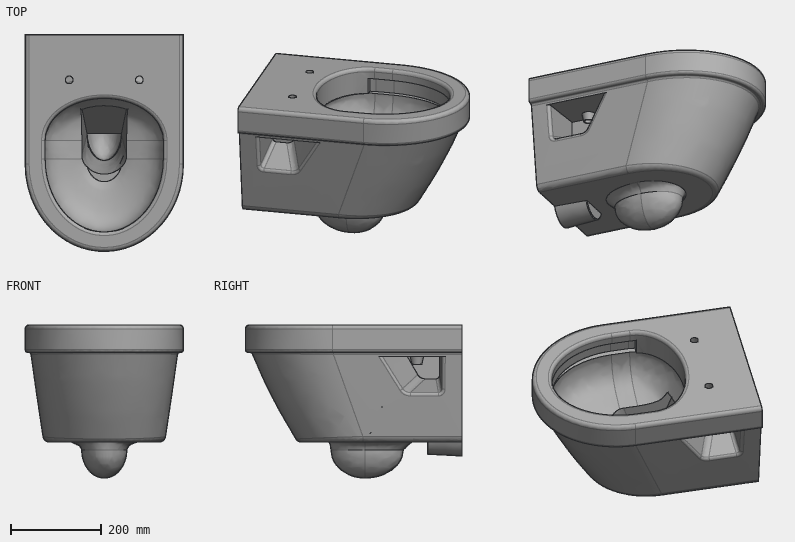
import cadquery as cq


WIDTH = 350.0
LENGTH = 479.28
HEIGHT = 338.45
TOLERANCE = 0.1
BEYOND = 20.0

RIM_HEIGHT = 61.0
RIM_ELLIPSE_Y = -286.0
RIM_TOP_ROUND = 9.0
RIM_BOTTOM_ROUND = 7.0
RIM_COVE = 5.0

BODY_BOTTOM = -259.0
BODY_SECTIONS = [
    (-RIM_HEIGHT, 162.5, -286.0, -465.0),
    (-160.0, 148.5, -250.0, -419.5),
    (BODY_BOTTOM, 133.5, -215.0, -363.0),
]
BODY_BOTTOM_ROUND = 15.0

TRAP_HALF_WIDTH = 50.0
TRAP_CENTRE_Y = -215.0
TRAP_FRONT_RADIUS = 75.0
TRAP_BACK_RADIUS = 85.0
TRAP_EQUATOR = -276.0
TRAP_FLARE = [
    (TRAP_EQUATOR, TRAP_HALF_WIDTH, TRAP_BACK_RADIUS, TRAP_FRONT_RADIUS),
    (-267.0, 55.0, 95.0, 77.0),
    (BODY_BOTTOM + 1, 92.0, 104.0, 80.0),
]
TRAP_WALL = 12.0

OUTLET_LENGTH = 77.0
OUTLET_AXIS_Z = -245.0
OUTLET_WALL_RADIUS = 45.0
OUTLET_TIP_RADIUS = 41.0
OUTLET_TIP_CHAMFER = 2.0

OPENING_HALF_WIDTH = 130.5
OPENING_BACK_Y = -141.0
OPENING_BACK_CENTRE_Y = -234.0
OPENING_FRONT_CENTRE_Y = -275.0
OPENING_FRONT_Y = -436.0
OPENING_ROUND = 8.0
OPENING_DEPTH = 74.0

BOWL_SECTIONS = [
    (-60.0, 134.0, -138.0, -438.0),
    (-100.0, 126.5, -143.0, -431.0),
    (-120.0, 111.0, -157.0, -416.0),
    (-138.0, 74.0, -165.0, -372.0),
    (-152.0, 40.0, -172.0, -325.0),
]

GROOVE_HALF_WIDTH = 146.0
GROOVE_TOP = -24.0
GROOVE_BOTTOM = -60.0
GROOVE_END_Y = -220.0

SUMP_SECTIONS = [
    (-120.0, 52.0, -275.0, -316.0, -150.0),
    (TRAP_EQUATOR, TRAP_HALF_WIDTH - TRAP_WALL, -222.0,
     TRAP_CENTRE_Y - TRAP_FRONT_RADIUS + TRAP_WALL, -219.0),
]

SEAT_HOLE_DIAMETER = 17.0
SEAT_HOLE_X = 77.5
SEAT_HOLE_Y = -100.0
SEAT_BOSS_RADIUS = 15.0
SEAT_BOSS_TIP_RADIUS = 11.0
SEAT_BOSS_BOTTOM = -87.0

RECESS_TOP = -70.0
RECESS_MOUTH_X = 175.0
RECESS_END_X = 58.0
RECESS_MOUTH = [(-43.0, RECESS_TOP), (-43.0, -160.0), (-137.0, -160.0), (-186.0, RECESS_TOP)]
RECESS_END = [(-50.0, RECESS_TOP), (-50.0, -119.0), (-93.0, -119.0), (-121.0, RECESS_TOP)]
RECESS_BACK_ROUND = 8.0
RECESS_FRONT_ROUND = 20.0
RECESS_EDGE_ROUND = 7.0
RECESS_ROUND_MIN_X = 138.0


def front_arc(half_width, centre_y, front_y, z):
    """Half ellipse bulging towards -Y."""
    return cq.Edge.makeEllipse(half_width, centre_y - front_y, cq.Vector(0, centre_y, z),
                               angle1=180, angle2=360)


def back_arc(half_width, centre_y, back_y, z):
    """Half ellipse bulging towards +Y."""
    return cq.Edge.makeEllipse(half_width, back_y - centre_y, cq.Vector(0, centre_y, z),
                               angle1=0, angle2=180)


def d_wire(z, half_width, curve_y, front_y, back_y=0.0):
    """Flat back, straight sides, elliptical front."""
    back_left = cq.Vector(-half_width, back_y, z)
    back_right = cq.Vector(half_width, back_y, z)
    front_left = cq.Vector(-half_width, curve_y, z)
    front_right = cq.Vector(half_width, curve_y, z)
    return cq.Wire.assembleEdges([
        front_arc(half_width, curve_y, front_y, z),
        cq.Edge.makeLine(front_right, back_right),
        cq.Edge.makeLine(back_right, back_left),
        cq.Edge.makeLine(back_left, front_left),
    ])


def egg_wire(z, half_width, back_y, front_y,
             back_centre=OPENING_BACK_CENTRE_Y, front_centre=OPENING_FRONT_CENTRE_Y):
    """Elliptical back and front joined by straight sides."""
    edges = [front_arc(half_width, front_centre, front_y, z)]
    if back_centre != front_centre:
        edges.append(cq.Edge.makeLine(cq.Vector(half_width, front_centre, z),
                                      cq.Vector(half_width, back_centre, z)))
    edges.append(back_arc(half_width, back_centre, back_y, z))
    if back_centre != front_centre:
        edges.append(cq.Edge.makeLine(cq.Vector(-half_width, back_centre, z),
                                      cq.Vector(-half_width, front_centre, z)))
    return cq.Wire.assembleEdges(edges)


def prism(wire, height):
    return cq.Workplane(cq.Solid.extrudeLinear(wire, [], cq.Vector(0, 0, height)))


def loft(wires, ruled=False):
    return cq.Workplane(cq.Solid.makeLoft(wires, ruled))


def both_sides(shape):
    return shape.union(shape.mirror("YZ"))


def make_body():
    body = loft([d_wire(*section) for section in BODY_SECTIONS])
    bottom_edges = body.faces("<Z").edges().filter(lambda edge: edge.Center().y < -TOLERANCE)
    return body.newObject(bottom_edges.vals()).fillet(BODY_BOTTOM_ROUND)


def make_rim():
    slab = prism(d_wire(-RIM_HEIGHT, WIDTH / 2, RIM_ELLIPSE_Y, -LENGTH), RIM_HEIGHT)
    slab = slab.faces(">Z").edges("not |X").fillet(RIM_TOP_ROUND)
    return slab.faces("<Z").edges("not |X").fillet(RIM_BOTTOM_ROUND)


def half_ellipsoid(half_width, y_radius, depth, towards):
    """Quarter of an ellipsoid below the trap equator, on the +Y or -Y side of its centre."""
    ball = cq.Solid.makeSphere(1, angleDegrees1=-90, angleDegrees2=0, angleDegrees3=180)
    scale = cq.Matrix([
        [towards * half_width, 0, 0, 0],
        [0, towards * y_radius, 0, TRAP_CENTRE_Y],
        [0, 0, depth, TRAP_EQUATOR],
        [0, 0, 0, 1],
    ])
    return cq.Workplane(ball.transformGeometry(scale))


def trap_shape(wall):
    """Underside of the trap, shrunk inwards by a wall thickness."""
    depth = HEIGHT + TRAP_EQUATOR - wall
    front = half_ellipsoid(TRAP_HALF_WIDTH - wall, TRAP_FRONT_RADIUS - wall, depth, -1)
    back = half_ellipsoid(TRAP_HALF_WIDTH - wall, TRAP_BACK_RADIUS - wall, depth, 1)
    return front.union(back)


def make_trap():
    flare = loft([
        egg_wire(z, half_width, TRAP_CENTRE_Y + back_radius, TRAP_CENTRE_Y - front_radius,
                 TRAP_CENTRE_Y, TRAP_CENTRE_Y)
        for z, half_width, back_radius, front_radius in TRAP_FLARE
    ])
    return trap_shape(0).union(flare)


def make_outlet():
    stub = (
        cq.Workplane("XZ", origin=(0, 0, OUTLET_AXIS_Z))
        .circle(OUTLET_WALL_RADIUS)
        .workplane(offset=OUTLET_LENGTH)
        .circle(OUTLET_TIP_RADIUS)
        .loft()
    )
    return stub.faces("<Y").edges().chamfer(OUTLET_TIP_CHAMFER)


def make_recess():
    """Mounting recess in the +X side: narrows inwards over a rising floor."""
    mouth = cq.Wire.makePolygon([cq.Vector(RECESS_MOUTH_X, y, z) for y, z in RECESS_MOUTH], close=True)
    end = cq.Wire.makePolygon([cq.Vector(RECESS_END_X, y, z) for y, z in RECESS_END], close=True)
    recess = loft([mouth, end], ruled=True)
    floor_edges = recess.edges().filter(
        lambda edge: edge.BoundingBox().xlen > TOLERANCE and edge.Center().z < RECESS_TOP - TOLERANCE
    )
    back_edge, front_edge = floor_edges.sort(lambda edge: -edge.Center().y).vals()
    recess = recess.newObject([front_edge]).fillet(RECESS_FRONT_ROUND)
    recess = recess.newObject([back_edge]).fillet(RECESS_BACK_ROUND)
    boss = (
        cq.Workplane("XY", origin=(SEAT_HOLE_X, SEAT_HOLE_Y, RECESS_TOP))
        .circle(SEAT_BOSS_RADIUS)
        .workplane(offset=SEAT_BOSS_BOTTOM - RECESS_TOP)
        .circle(SEAT_BOSS_TIP_RADIUS)
        .loft()
    )
    return recess.cut(boss)


def make_opening():
    wire = egg_wire(-OPENING_DEPTH, OPENING_HALF_WIDTH, OPENING_BACK_Y, OPENING_FRONT_Y)
    return prism(wire, OPENING_DEPTH + BEYOND)


def make_bowl():
    return loft([egg_wire(*section) for section in BOWL_SECTIONS])


def make_grooves():
    wire = egg_wire(GROOVE_BOTTOM, GROOVE_HALF_WIDTH, OPENING_BACK_Y, OPENING_FRONT_Y)
    groove = prism(wire, GROOVE_TOP - GROOVE_BOTTOM)
    keep = cq.Workplane().box(WIDTH, LENGTH, HEIGHT).translate((0, GROOVE_END_Y - LENGTH / 2, 0))
    return groove.intersect(keep)


def make_sump():
    chute = loft([d_wire(*section) for section in SUMP_SECTIONS])
    return chute.union(trap_shape(TRAP_WALL))


def make_seat_holes():
    return (
        cq.Workplane("XY", origin=(0, SEAT_HOLE_Y, SEAT_BOSS_BOTTOM))
        .pushPoints([(-SEAT_HOLE_X, 0), (SEAT_HOLE_X, 0)])
        .circle(SEAT_HOLE_DIAMETER / 2)
        .extrude(BEYOND - SEAT_BOSS_BOTTOM)
    )


def reach_x(edge):
    """Largest distance of an edge from the plane of symmetry."""
    box = edge.BoundingBox()
    return max(-box.xmin, box.xmax)


def round_rim_cove(part):
    """Concave round where the body meets the rim underside."""
    body_top_half_width = BODY_SECTIONS[0][1]
    seam = part.edges().filter(
        lambda edge: abs(edge.Center().z + RIM_HEIGHT) < TOLERANCE
        and reach_x(edge) < body_top_half_width + TOLERANCE
    )
    return part.newObject(seam.vals()).fillet(RIM_COVE)


def round_opening(part):
    mouth = part.faces(">Z").edges().filter(
        lambda edge: reach_x(edge) < OPENING_HALF_WIDTH + TOLERANCE
        and OPENING_FRONT_Y - TOLERANCE < edge.Center().y < OPENING_BACK_Y
    )
    return part.newObject(mouth.vals()).fillet(OPENING_ROUND)


def round_recess_mouths(part):
    back_y = RECESS_MOUTH[0][0]
    front_y = RECESS_MOUTH[-1][0]
    floor_z = RECESS_MOUTH[1][1]
    mouth = part.edges().filter(
        lambda edge: abs(edge.Center().x) > RECESS_ROUND_MIN_X
        and edge.BoundingBox().xlen < RECESS_MOUTH_X - RECESS_ROUND_MIN_X
        and front_y < edge.Center().y < back_y + TOLERANCE
        and floor_z < edge.Center().z < RECESS_TOP - TOLERANCE
    )
    return part.newObject(mouth.vals()).fillet(RECESS_EDGE_ROUND)


outside = round_rim_cove(make_body().union(make_rim()))
outside = round_recess_mouths(outside.cut(both_sides(make_recess())))
outside = outside.union(make_trap()).union(make_outlet())
outside = round_opening(outside.cut(make_opening()))
result = outside.cut(make_bowl()).cut(make_grooves()).cut(make_sump()).cut(make_seat_holes())